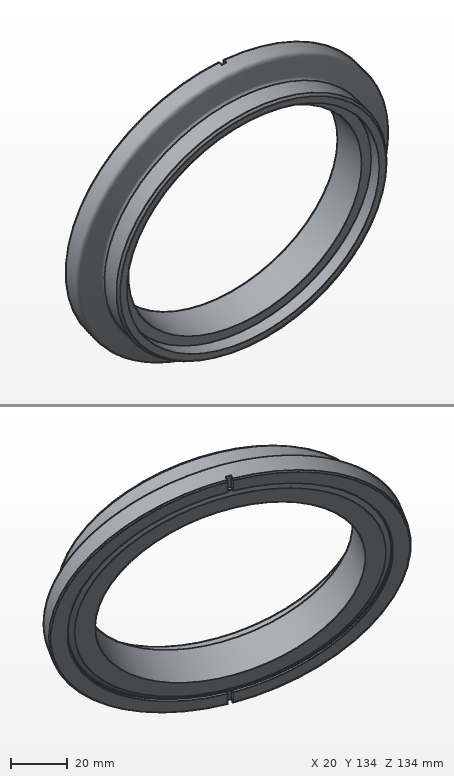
import cadquery as cq
import math

length = 20.0
flange_radius = 67.0
hub_radius = 116.0 / 2
bore_radius = 100.0 / 2

rim_corner_x = 7.6
cone_angle = 20.0
cone_run = (flange_radius - hub_radius) * math.tan(math.radians(cone_angle))
hub_start_x = rim_corner_x + cone_run
rim_round = 1.7
root_round = 1.1
front_chamfer = 0.5
hub_chamfer = 1.0

groove_inner_radius = 57.6
groove_floor_radius = 59.8
groove_outer_radius = 60.3
groove_depth = 1.0

socket_radius = 108.3 / 2
socket_depth = 5.0

slot_width = 2.0
slot_depth = 2.0


def revolve_about_x(outline):
    """Turn a closed outline of (x, radius) points about the X axis."""
    profile = cq.Workplane("XY").polyline(outline).close()
    return profile.revolve(360, (0, 0, 0), (1, 0, 0))


def ring_edge(x, radius):
    """Box selector around the full-circle edge at the given x and radius."""
    margin = 0.07
    return cq.selectors.BoxSelector(
        (x - margin, -radius - margin, -radius - margin),
        (x + margin, radius + margin, radius + margin),
        boundingbox=True,
    )


body = revolve_about_x([
    (0, 0),
    (0, flange_radius),
    (rim_corner_x, flange_radius),
    (hub_start_x, hub_radius),
    (length, hub_radius),
    (length, 0),
])
body = body.edges(ring_edge(rim_corner_x, flange_radius)).fillet(rim_round)
body = body.edges(ring_edge(hub_start_x, hub_radius)).fillet(root_round)
body = body.edges(ring_edge(length, hub_radius)).chamfer(hub_chamfer)
body = body.edges(ring_edge(0, flange_radius)).chamfer(front_chamfer)

opening = revolve_about_x([
    (0, 0),
    (0, bore_radius),
    (length - socket_depth, bore_radius),
    (length - socket_depth, socket_radius),
    (length, socket_radius),
    (length, 0),
])
body = body.cut(opening)

groove = revolve_about_x([
    (0, groove_inner_radius),
    (groove_depth, groove_floor_radius),
    (groove_depth, groove_outer_radius),
    (0, groove_outer_radius),
])
body = body.cut(groove)

slot_inner_radius = (groove_floor_radius + groove_outer_radius) / 2
slot_length = flange_radius - slot_inner_radius
slot_center_radius = slot_inner_radius + slot_length / 2
for side in (1, -1):
    slot = cq.Workplane("XY").box(slot_depth, slot_width, slot_length)
    body = body.cut(slot.translate((slot_depth / 2, 0, side * slot_center_radius)))

result = body